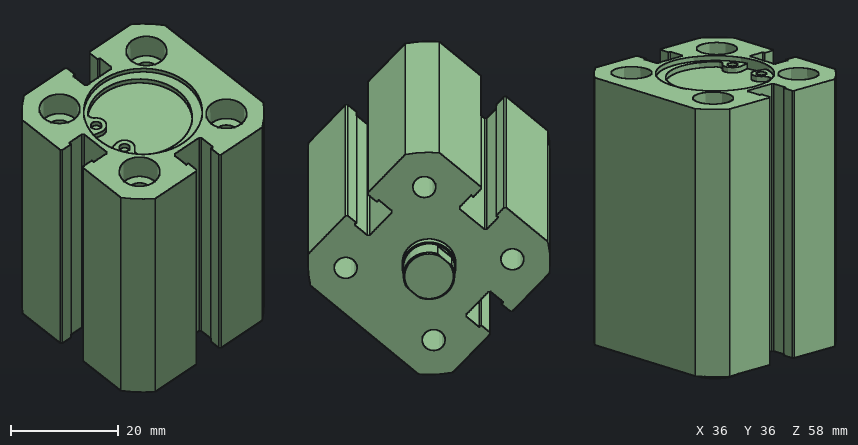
import cadquery as cq
import math

TOTAL_HEIGHT = 58.0
ROD_PROJECTION = 6.0
HOUSING_HEIGHT = TOTAL_HEIGHT - ROD_PROJECTION
HOUSING_WIDTH = 36.0
HALF_WIDTH = HOUSING_WIDTH / 2
CORNER_RADIUS = 22.5

SLOT_DEPTH = 6.0
SLOT_WIDTH = 6.7
SLOT_LIP_DEPTH = 2.5
SLOT_MOUTH_WIDTH = 5.7
SLOT_MOUTH_CHAMFER = 0.3
SLOT_FLOOR_CHAMFER = 0.3
SLOT_ANGLES = (-90, 0, 90)

MOUNT_PITCH = 21.9
MOUNT_HOLE_DIAMETER = 4.25
COUNTERBORE_DIAMETER = 7.55
COUNTERBORE_DEPTH = 5.2

BORE_RADIUS = 11.0
RING_RECESS = 0.9
RING_THICKNESS = 1.05
RING_INNER_RADIUS = 9.75
RING_INNER_OFFSET = -0.8
EAR_X = 3.9
EAR_Y = -8.25
EAR_RADIUS = 1.9
EAR_HOLE_DIAMETER = 2.0
EAR_BLEND_RADIUS = 1.2

COVER_THICKNESS = 5.0
RING_TOP = HOUSING_HEIGHT - RING_RECESS
RING_BOTTOM = RING_TOP - RING_THICKNESS
COVER_BOTTOM = RING_BOTTOM - COVER_THICKNESS

ROD_RADIUS = 5.0
ROD_TIP_RADIUS = 4.75
ROD_SHOULDER = 1.5
ROD_TIP_CHAMFER = 0.25
FLAT_DISTANCE = 4.4


def cylinder(radius, bottom, top):
    """Cylinder about the Z axis between two heights."""
    return cq.Workplane("XY").workplane(offset=bottom).circle(radius).extrude(top - bottom)


def make_slot():
    """T-shaped slot cutter for the -Y face, over the full housing height."""
    face_y = -HALF_WIDTH
    lip_y = face_y + SLOT_LIP_DEPTH
    floor_y = face_y + SLOT_DEPTH
    half_mouth = SLOT_MOUTH_WIDTH / 2
    half_slot = SLOT_WIDTH / 2
    right_side = [
        (half_mouth + SLOT_MOUTH_CHAMFER, face_y),
        (half_mouth, face_y + SLOT_MOUTH_CHAMFER),
        (half_mouth, lip_y),
        (half_slot, lip_y),
        (half_slot, floor_y - SLOT_FLOOR_CHAMFER),
        (half_slot - SLOT_FLOOR_CHAMFER, floor_y),
    ]
    left_side = [(-x, y) for x, y in reversed(right_side)]
    return cq.Workplane("XY").polyline(right_side + left_side).close().extrude(HOUSING_HEIGHT)


def make_housing():
    """Square housing with rounded corners, slots, mounting holes and bores."""
    block = cq.Workplane("XY").rect(HOUSING_WIDTH, HOUSING_WIDTH).extrude(HOUSING_HEIGHT)
    housing = block.intersect(cylinder(CORNER_RADIUS, 0, HOUSING_HEIGHT))
    slot = make_slot()
    for angle in SLOT_ANGLES:
        housing = housing.cut(slot.rotate((0, 0, 0), (0, 0, 1), angle))
    housing = (
        housing.faces(">Z").workplane(origin=(0, 0, HOUSING_HEIGHT))
        .rect(MOUNT_PITCH, MOUNT_PITCH, forConstruction=True).vertices()
        .cboreHole(MOUNT_HOLE_DIAMETER, COUNTERBORE_DIAMETER, COUNTERBORE_DEPTH)
    )
    housing = housing.cut(cylinder(BORE_RADIUS, COVER_BOTTOM, HOUSING_HEIGHT))
    return housing.cut(cylinder(ROD_RADIUS, 0, COVER_BOTTOM))


def make_snap_ring():
    """Eccentric ring with two drilled ears beside a gap at -Y."""
    ear_distance = math.hypot(EAR_X, EAR_Y)
    ear_angle = math.atan2(EAR_X, -EAR_Y)
    gap_angle = ear_angle - math.asin(EAR_RADIUS / ear_distance)
    tangent_distance = math.sqrt(ear_distance ** 2 - EAR_RADIUS ** 2)
    reach = 2 * BORE_RADIUS

    def polar(distance, angle):
        return (distance * math.sin(angle), -distance * math.cos(angle))

    plane = cq.Workplane("XY").workplane(offset=RING_BOTTOM)
    disc = plane.circle(BORE_RADIUS).extrude(RING_THICKNESS)
    opening = plane.center(0, RING_INNER_OFFSET).circle(RING_INNER_RADIUS).extrude(RING_THICKNESS)
    for side in (-1, 1):
        foot_points = [
            (EAR_X, EAR_Y),
            polar(tangent_distance, gap_angle),
            polar(reach, gap_angle),
            polar(reach, ear_angle),
        ]
        foot = plane.polyline([(side * x, y) for x, y in foot_points]).close().extrude(RING_THICKNESS)
        ear = plane.center(side * EAR_X, EAR_Y).circle(EAR_RADIUS).extrude(RING_THICKNESS)
        opening = opening.cut(ear).cut(foot)
    gap = (
        plane.polyline([(0, 0), polar(reach, gap_angle), polar(reach, -gap_angle)]).close()
        .extrude(RING_THICKNESS)
    )
    ring = disc.cut(opening).cut(gap)

    centre_gap = math.hypot(EAR_X, EAR_Y - RING_INNER_OFFSET)
    along = (centre_gap ** 2 + RING_INNER_RADIUS ** 2 - EAR_RADIUS ** 2) / (2 * centre_gap)
    crossing_angle = (
        math.atan2(EAR_X, RING_INNER_OFFSET - EAR_Y) + math.acos(along / RING_INNER_RADIUS)
    )
    crossing_x, crossing_y = polar(RING_INNER_RADIUS, crossing_angle)
    for side in (-1, 1):
        crossing = (side * crossing_x, crossing_y + RING_INNER_OFFSET, RING_BOTTOM + RING_THICKNESS / 2)
        ring = ring.edges(cq.NearestToPointSelector(crossing)).fillet(EAR_BLEND_RADIUS)

    holes = plane.pushPoints([(-EAR_X, EAR_Y), (EAR_X, EAR_Y)]).circle(EAR_HOLE_DIAMETER / 2)
    return ring.cut(holes.extrude(RING_THICKNESS))


def make_cover():
    """Plain disc that closes the bore below the snap ring."""
    return cylinder(BORE_RADIUS, COVER_BOTTOM, RING_BOTTOM)


def make_rod():
    """Stepped rod up to the cover, with two flats that run out at 45 degrees."""
    step = ROD_RADIUS - ROD_TIP_RADIUS
    profile = [
        (0, COVER_BOTTOM),
        (ROD_RADIUS, COVER_BOTTOM),
        (ROD_RADIUS, -ROD_SHOULDER),
        (ROD_TIP_RADIUS, -ROD_SHOULDER - step),
        (ROD_TIP_RADIUS, -ROD_PROJECTION + ROD_TIP_CHAMFER),
        (ROD_TIP_RADIUS - ROD_TIP_CHAMFER, -ROD_PROJECTION),
        (0, -ROD_PROJECTION),
    ]
    rod = cq.Workplane("XZ").polyline(profile).close().revolve(360, (0, 0, 0), (0, 1, 0))
    flat_depth = ROD_RADIUS - FLAT_DISTANCE
    flat_profile = [
        (FLAT_DISTANCE, -ROD_PROJECTION),
        (FLAT_DISTANCE, -ROD_SHOULDER - flat_depth),
        (ROD_RADIUS, -ROD_SHOULDER),
        (ROD_RADIUS, -ROD_PROJECTION),
    ]
    flat = cq.Workplane("YZ").polyline(flat_profile).close().extrude(ROD_RADIUS, both=True)
    return rod.cut(flat).cut(flat.mirror("XZ"))


housing = make_housing()
snap_ring = make_snap_ring()
cover = make_cover()
rod = make_rod()

result = cq.Compound.makeCompound([housing.val(), snap_ring.val(), cover.val(), rod.val()])